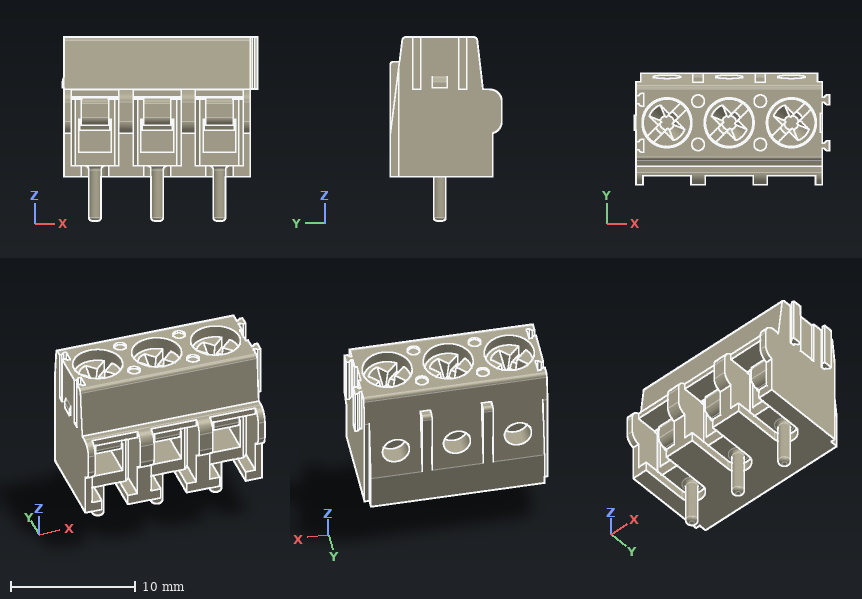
import cadquery as cq
import math


pitch = 5.0
pole_centers = [-pitch, 0, pitch]
web_centers = [-pitch / 2, pitch / 2]

length = 3 * pitch
half_length = length / 2
height = 11.25
back_y = 4.0
back_slope_start_z = 3.23
top_half_depth = 3.0
shoulder_y = -3.48
shoulder_z = 7.05
front_y = -4.26
lug_y = -5.0
lug_radius = 1.0
lug_bottom_z = 4.48
edge_radius = 0.3
end_step_y = 3.3
end_step_length = 0.39
web_width = 0.81
web_height = 9.28

cell_width = 3.84
floor_z = 0.9
visor_bottom_z = 6.44
cage_half_depth = 2.33
cell_ceiling_z = 6.36
pin_slot_radius = 1.1
test_hole_radius = 1.1
test_hole_z = 5.67

screw_hole_radius = 2.0
screw_recess = 1.0
dimple_radius = 0.5
dimple_y = 1.74
dimple_depth = 0.2
dovetail_y = 1.85
groove_neck_half = 0.305
groove_wide_half = 0.53
groove_depth = 0.63
groove_neck_depth = 0.19
tab_neck_half = 0.2
tab_wide_half = 0.4
tab_length = 0.56
tab_neck_length = 0.13
latch_half_width = 0.6
latch_thickness = 0.11
latch_bottom_z = 7.16
latch_knee_z = 7.66
latch_top_z = 8.05
notch_width = 1.54
notch_depth = 0.19

head_radius = 1.91
head_height = 2.35
head_top_z = height - screw_recess
slot_width = 0.7
slot_depth = 0.97
slot_angle = 45
drive_depth = 1.66
drive_top_radius = 1.52
drive_floor_radius = 0.58
wing_top_half = 0.63
wing_floor_half = 0.27

cage_top_z = 6.25
cage_chamfer = 0.35
window_width = 2.63
window_bottom_z = 2.0
window_top_z = 4.62
window_back_y = 1.65
tongue_width = 2.2
tongue_front_y = -2.75
tongue_top_radius = 0.44
tongue_bottom_radius = 0.65
tongue_bottom_z = 4.17
spring_width = 2.41
spring_start_z = 4.23
spring_end_z = 3.76
spring_chamfer = 0.13
pin_radius = 0.5
pin_tip_z = -3.54
pin_tip_radius = 0.3
pin_root_radius = 0.3


def box(x0, x1, y0, y1, z0, z1):
    return cq.Workplane("XY").box(x1 - x0, y1 - y0, z1 - z0, centered=False).translate((x0, y0, z0))


def centered_box(x, width, y0, y1, z0, z1):
    return box(x - width / 2, x + width / 2, y0, y1, z0, z1)


def cylinder(x, y, radius, z0, z1):
    return cq.Workplane("XY", origin=(x, y, z0)).circle(radius).extrude(z1 - z0)


def housing_shell():
    """Solid housing: side outline along X, stepped ends and back webs."""
    diagonal = lug_radius * math.sqrt(0.5)
    lug_axis_y = lug_y + lug_radius
    upper_axis_z = shoulder_z - lug_radius
    lug_foot_z = lug_bottom_z - math.sqrt(lug_radius**2 - (front_y - lug_axis_y) ** 2)
    half_sweep = math.acos((lug_axis_y - front_y) / lug_radius) / 2
    lower_mid = (
        lug_axis_y - lug_radius * math.cos(half_sweep),
        lug_bottom_z - lug_radius * math.sin(half_sweep),
    )
    shell = (
        cq.Workplane("YZ", origin=(-half_length, 0, 0))
        .moveTo(back_y, 0)
        .lineTo(back_y, back_slope_start_z)
        .lineTo(top_half_depth, height)
        .lineTo(-top_half_depth, height)
        .lineTo(shoulder_y, shoulder_z)
        .lineTo(lug_axis_y, shoulder_z)
        .threePointArc((lug_axis_y - diagonal, upper_axis_z + diagonal), (lug_y, upper_axis_z))
        .lineTo(lug_y, lug_bottom_z)
        .threePointArc(lower_mid, (front_y, lug_foot_z))
        .lineTo(front_y, 0)
        .close()
        .extrude(length)
        .edges("|X and >Z")
        .fillet(edge_radius)
    )
    for x in web_centers:
        web = centered_box(x, web_width, 0, back_y, 0, web_height)
        shell = shell.union(web.edges("|X and >Y and >Z").fillet(edge_radius))
    for x in (-half_length, half_length - end_step_length):
        shell = shell.cut(box(x, x + end_step_length, end_step_y, back_y, 0, height))
    return shell


def cell_cavity(x):
    """Wire opening, contact pocket, pin slot and test hole of one pole."""
    opening = centered_box(x, cell_width, lug_y, front_y, 0, shoulder_z)
    throat = centered_box(x, cell_width, front_y, -cage_half_depth, floor_z, visor_bottom_z)
    pocket = centered_box(x, cell_width, -cage_half_depth, cage_half_depth, floor_z, cell_ceiling_z)
    pin_slot = centered_box(x, 2 * pin_slot_radius, front_y, 0, 0, floor_z)
    pin_slot = pin_slot.union(cylinder(x, 0, pin_slot_radius, 0, floor_z))
    test_hole = (
        cq.Workplane("XZ", origin=(x, back_y, test_hole_z))
        .circle(test_hole_radius)
        .extrude(back_y - cage_half_depth)
    )
    return opening.union(throat).union(pocket).union(pin_slot).union(test_hole)


def dovetail(x, y, neck_half, wide_half, neck_length, full_length):
    """Dovetail bar along Z, growing toward +X from x; its flanks run at 45 degrees."""
    flank_x = x + neck_length + wide_half - neck_half
    return (
        cq.Workplane("XY", origin=(0, 0, shoulder_z))
        .polyline([
            (x, y - neck_half),
            (x + neck_length, y - neck_half),
            (flank_x, y - wide_half),
            (x + full_length, y - wide_half),
            (x + full_length, y + wide_half),
            (flank_x, y + wide_half),
            (x + neck_length, y + neck_half),
            (x, y + neck_half),
        ])
        .close()
        .extrude(height - shoulder_z)
    )


def latch():
    """Wedge-topped catch on the -X end."""
    return (
        cq.Workplane("XZ", origin=(0, latch_half_width, 0))
        .polyline([
            (-half_length, latch_bottom_z),
            (-half_length - latch_thickness, latch_bottom_z),
            (-half_length - latch_thickness, latch_knee_z),
            (-half_length, latch_top_z),
        ])
        .close()
        .extrude(2 * latch_half_width)
    )


def make_housing():
    body = housing_shell()
    for x in pole_centers:
        body = body.cut(cell_cavity(x))
        body = body.cut(cylinder(x, 0, screw_hole_radius, head_top_z - head_height, height))
    for y in (-dovetail_y, dovetail_y):
        for x in web_centers:
            dimple_center_y = math.copysign(dimple_y, y)
            body = body.cut(cylinder(x, dimple_center_y, dimple_radius, height - dimple_depth, height))
        body = body.cut(
            dovetail(-half_length, y, groove_neck_half, groove_wide_half, groove_neck_depth, groove_depth)
        )
        body = body.union(
            dovetail(half_length, y, tab_neck_half, tab_wide_half, tab_neck_length, tab_length)
        )
    body = body.union(latch())
    latch_notch = box(
        half_length - notch_depth, half_length, -notch_width / 2, notch_width / 2, shoulder_z, height
    )
    return body.cut(latch_notch)


def make_screw(x):
    """Screw head with a straight slot crossed by two tapered wings."""
    head = cylinder(0, 0, head_radius, -head_height, 0)
    slot = centered_box(0, 2 * head_radius, -slot_width / 2, slot_width / 2, -slot_depth, 0)
    cone = (
        cq.Workplane("XZ")
        .polyline([
            (0, 0),
            (drive_top_radius, 0),
            (drive_floor_radius, -drive_depth),
            (0, -drive_depth),
        ])
        .close()
        .revolve(360, (0, 0, 0), (0, 1, 0))
    )
    wings = (
        cq.Workplane("XZ", origin=(0, drive_top_radius, 0))
        .polyline([
            (-wing_top_half, 0),
            (wing_top_half, 0),
            (wing_floor_half, -drive_depth),
            (-wing_floor_half, -drive_depth),
        ])
        .close()
        .extrude(2 * drive_top_radius)
    )
    slot_core = centered_box(
        0, 2 * drive_top_radius, -slot_width / 2, slot_width / 2, -drive_depth, 0
    )
    drive = cone.intersect(wings.union(slot_core)).union(slot)
    screw = head.cut(drive)
    return screw.rotate((0, 0, 0), (0, 0, 1), slot_angle).translate((x, 0, head_top_z))


def make_contact(x):
    """Clamping cage with a wire window, a bent spring tongue and a solder pin."""
    cage = (
        centered_box(0, cell_width, -cage_half_depth, cage_half_depth, floor_z, cage_top_z)
        .edges("|Z")
        .chamfer(cage_chamfer)
        .cut(centered_box(0, window_width, -cage_half_depth, window_back_y, window_bottom_z, window_top_z))
    )
    tongue = (
        centered_box(0, tongue_width, tongue_front_y, -tongue_bottom_radius, tongue_bottom_z, cell_ceiling_z)
        .edges("|X and <Y and >Z")
        .fillet(tongue_top_radius)
        .edges("|X and <Y and <Z")
        .fillet(tongue_bottom_radius)
    )
    spring_start_y = tongue_front_y + tongue_bottom_radius
    spring = (
        cq.Workplane("YZ", origin=(-spring_width / 2, 0, 0))
        .polyline([
            (spring_start_y, window_top_z),
            (spring_start_y, spring_start_z),
            (window_back_y, spring_end_z),
            (window_back_y, window_top_z),
        ])
        .close()
        .extrude(spring_width)
        .edges("|Z and <Y")
        .chamfer(spring_chamfer)
    )
    pin = cylinder(0, 0, pin_radius, pin_tip_z, floor_z).faces("<Z").edges().fillet(pin_tip_radius)
    root_mid = pin_root_radius * (1 - math.sqrt(0.5))
    root = (
        cq.Workplane("XZ")
        .moveTo(0, floor_z - pin_root_radius)
        .lineTo(pin_radius, floor_z - pin_root_radius)
        .threePointArc(
            (pin_radius + root_mid, floor_z - root_mid),
            (pin_radius + pin_root_radius, floor_z),
        )
        .lineTo(0, floor_z)
        .close()
        .revolve(360, (0, 0, 0), (0, 1, 0))
    )
    return cage.union(tongue).union(spring).union(pin).union(root).translate((x, 0, 0))


housing = make_housing()
screws = [make_screw(x) for x in pole_centers]
contacts = [make_contact(x) for x in pole_centers]

result = cq.Compound.makeCompound([
    housing.val(),
    *[screw.val() for screw in screws],
    *[contact.val() for contact in contacts],
])